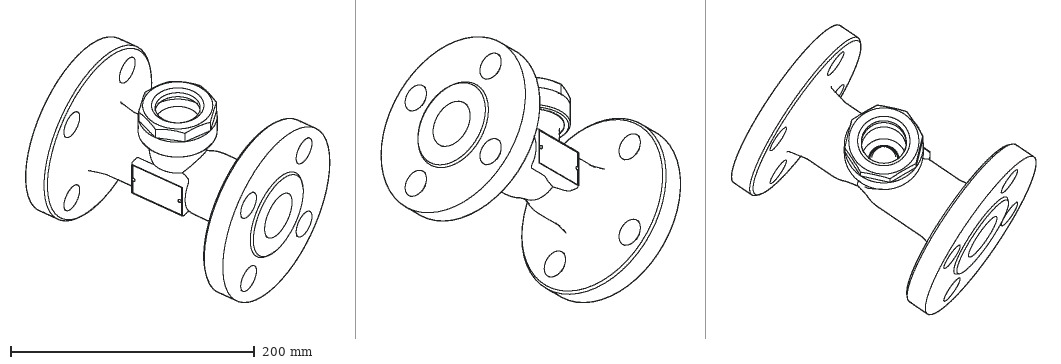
import cadquery as cq
import math

total_length = 200.0
pipe_radius = 56.0 / 2
bore_diameter = 40.0
overlap = 2.0

flange_radius = 156.0 / 2
flange_thickness = 20.5
flange_chamfer = 2.0
raised_face_height = 2.0
raised_face_base_radius = 38.0
raised_face_tip_radius = 36.5
bolt_hole_diameter = 23.0
bolt_hole_offset = 40.5
bolt_hole_count = 4

hub_end_x = 58.0
hub_taper = math.radians(11.5)
hub_fillet = 4.5

waist_x = 10.0
waist_half_length = 22.5
waist_radius = 23.0
sphere_end_offset = 12.0

neck_radius = 47.0 / 2
neck_top_z = 38.5
collar_fillet = 4.0
collar_radius = neck_radius + collar_fillet
seat_z = 53.2
chamber_diameter = 37.0
chamber_floor_z = 24.0

stud_base_radius = 25.0 / 2
stud_step_radius = 23.0 / 2
stud_step_height = 1.0
dome_radius = 10.0

boss_length = 52.0
boss_height = 34.8
boss_back_y = -10.0
boss_front_y = -30.0
boss_fillet = 2.0
plate_length = 50.0
plate_height = 30.8
plate_thickness = 0.5
rivet_radius = 1.5
rivet_spacing = 46.0

nut_radius = 65.0 / 2
nut_bottom_z = 41.8
nut_bottom_chamfer = 1.5
octagon_bottom_z = 59.5
nut_top_z = 71.0
nut_top_face_radius = 28.8
nut_top_bevel = math.radians(30)
octagon_sides = 8
lip_bottom_z = 64.0
lip_bore_radius = 37.0 / 2
lip_mouth_radius = 21.5
lip_mouth_depth = 2.5

face_x = total_length / 2
flange_front_x = face_x - raised_face_height
flange_back_x = flange_front_x - flange_thickness


def make_flange():
    """Flange disc at the +X end, with its raised face and bolt holes."""
    outline = [
        (flange_back_x, 0),
        (flange_back_x, flange_radius - flange_chamfer),
        (flange_back_x + flange_chamfer, flange_radius),
        (flange_front_x, flange_radius),
        (flange_front_x, raised_face_base_radius),
        (face_x, raised_face_tip_radius),
        (face_x, 0),
    ]
    disc = cq.Workplane("XY").polyline(outline).close().revolve(360, (0, 0), (1, 0))
    bolt_holes = (
        cq.Workplane("YZ", origin=(flange_back_x - overlap, 0, 0))
        .polarArray(bolt_hole_offset * math.sqrt(2), 45, 360, bolt_hole_count)
        .circle(bolt_hole_diameter / 2)
        .extrude(flange_thickness + 2 * overlap)
    )
    return disc.cut(bolt_holes)


def make_hub():
    """Tapered hub at the +X end, blending into the flange with a concave fillet."""
    sin_taper = math.sin(hub_taper)
    cos_taper = math.cos(hub_taper)
    cone_end_x = flange_back_x - hub_fillet * (1 - sin_taper)
    cone_end_radius = pipe_radius + (cone_end_x - hub_end_x) * math.tan(hub_taper)
    fillet_center_x = flange_back_x - hub_fillet
    fillet_center_radius = cone_end_radius + hub_fillet * cos_taper
    middle_angle = (hub_taper - math.pi / 2) / 2
    fillet_middle = (
        fillet_center_x + hub_fillet * math.cos(middle_angle),
        fillet_center_radius + hub_fillet * math.sin(middle_angle),
    )
    return (
        cq.Workplane("XY")
        .moveTo(hub_end_x, 0)
        .lineTo(hub_end_x, pipe_radius)
        .lineTo(cone_end_x, cone_end_radius)
        .threePointArc(fillet_middle, (flange_back_x, fillet_center_radius))
        .lineTo(flange_back_x + overlap, fillet_center_radius)
        .lineTo(flange_back_x + overlap, 0)
        .close()
        .revolve(360, (0, 0), (1, 0))
    )


def make_pipe():
    """Pipe run between the hubs, narrowing to a waist."""
    left_x = waist_x - waist_half_length
    right_x = waist_x + waist_half_length

    def sphere_height(offset):
        return math.sqrt(pipe_radius**2 - offset**2)

    middle_offset = sphere_end_offset / 2
    end_height = sphere_height(sphere_end_offset)
    middle_height = sphere_height(middle_offset)
    return (
        cq.Workplane("XY")
        .moveTo(-hub_end_x, 0)
        .lineTo(-hub_end_x, pipe_radius)
        .lineTo(left_x, pipe_radius)
        .threePointArc((left_x + middle_offset, middle_height), (left_x + sphere_end_offset, end_height))
        .lineTo(waist_x, waist_radius)
        .lineTo(right_x - sphere_end_offset, end_height)
        .threePointArc((right_x - middle_offset, middle_height), (right_x, pipe_radius))
        .lineTo(hub_end_x, pipe_radius)
        .lineTo(hub_end_x, 0)
        .close()
        .revolve(360, (0, 0), (1, 0))
    )


def make_neck():
    """Neck on top of the pipe, flaring into the collar that the nut fits on."""
    fillet_middle = (
        collar_radius - collar_fillet * math.cos(math.pi / 4),
        neck_top_z + collar_fillet * math.sin(math.pi / 4),
    )
    return (
        cq.Workplane("XZ")
        .lineTo(neck_radius, 0)
        .lineTo(neck_radius, neck_top_z)
        .threePointArc(fillet_middle, (collar_radius, neck_top_z + collar_fillet))
        .lineTo(collar_radius, seat_z)
        .lineTo(0, seat_z)
        .close()
        .revolve(360, (0, 0), (0, 1))
    )


def make_nameplate():
    """Boss with rounded edges, carrying a thin plate and two domed rivets."""
    boss = (
        cq.Workplane("XZ", origin=(0, boss_back_y, 0))
        .rect(boss_length, boss_height)
        .extrude(boss_back_y - boss_front_y)
        .edges("|Y or <Y")
        .fillet(boss_fillet)
    )
    plate = (
        cq.Workplane("XZ", origin=(0, boss_front_y, 0))
        .rect(plate_length, plate_height)
        .extrude(plate_thickness)
    )
    rivets = (
        cq.Workplane("XZ", origin=(0, boss_front_y - plate_thickness, 0))
        .rarray(rivet_spacing, 2, 2, 1)
        .sphere(rivet_radius)
    )
    return boss.union(plate).union(rivets)


def make_stud():
    """Stepped base with a dome that blends into it, standing on the chamber floor."""
    base_top_z = chamber_floor_z + stud_step_height
    step_top_z = base_top_z + stud_step_height
    foot_fillet = stud_step_radius - dome_radius
    dome_center_z = step_top_z + foot_fillet
    diagonal = math.sin(math.pi / 4)
    foot_middle = (stud_step_radius - foot_fillet * diagonal, dome_center_z - foot_fillet * diagonal)
    return (
        cq.Workplane("XZ")
        .moveTo(0, chamber_floor_z - overlap)
        .lineTo(stud_base_radius, chamber_floor_z - overlap)
        .lineTo(stud_base_radius, base_top_z)
        .lineTo(stud_step_radius, base_top_z)
        .lineTo(stud_step_radius, step_top_z)
        .threePointArc(foot_middle, (dome_radius, dome_center_z))
        .threePointArc(
            (dome_radius * diagonal, dome_center_z + dome_radius * diagonal),
            (0, dome_center_z + dome_radius),
        )
        .close()
        .revolve(360, (0, 0), (0, 1))
    )


def make_bore(inner_x, outer_x):
    """Blind flow bore along X, from an inner end to a flange face."""
    return (
        cq.Workplane("YZ", origin=(inner_x, 0, 0))
        .circle(bore_diameter / 2)
        .extrude(outer_x - inner_x)
    )


def make_housing():
    flange = make_flange()
    hub = make_hub()
    housing = make_pipe()
    for end_part in (hub, flange):
        housing = housing.union(end_part).union(end_part.mirror("YZ"))
    housing = housing.union(make_neck()).union(make_nameplate())

    chamber = (
        cq.Workplane("XY", origin=(0, 0, chamber_floor_z))
        .circle(chamber_diameter / 2)
        .extrude(seat_z - chamber_floor_z)
    )
    housing = housing.cut(chamber).union(make_stud())
    housing = housing.cut(make_bore(waist_x - waist_half_length, -face_x))
    return housing.cut(make_bore(waist_x + waist_half_length, face_x))


def make_nut():
    """Cap nut: round below, octagonal above, with a lip at the top of its bore."""
    round_part = (
        cq.Workplane("XY", origin=(0, 0, nut_bottom_z))
        .circle(nut_radius)
        .extrude(octagon_bottom_z - nut_bottom_z)
        .faces("<Z")
        .chamfer(nut_bottom_chamfer)
    )
    octagon = (
        cq.Workplane("XY", origin=(0, 0, octagon_bottom_z))
        .polygon(octagon_sides, 2 * nut_radius)
        .extrude(nut_top_z - octagon_bottom_z)
    )
    bevel_depth = (nut_radius - nut_top_face_radius) * math.tan(nut_top_bevel)
    bevel_envelope = (
        cq.Workplane("XZ")
        .moveTo(0, octagon_bottom_z)
        .lineTo(nut_radius, octagon_bottom_z)
        .lineTo(nut_radius, nut_top_z - bevel_depth)
        .lineTo(nut_top_face_radius, nut_top_z)
        .lineTo(0, nut_top_z)
        .close()
        .revolve(360, (0, 0), (0, 1))
    )
    bore_outline = [
        (0, nut_bottom_z),
        (collar_radius, nut_bottom_z),
        (collar_radius, lip_bottom_z),
        (lip_bore_radius, lip_bottom_z),
        (lip_bore_radius, nut_top_z - lip_mouth_depth),
        (lip_mouth_radius, nut_top_z),
        (0, nut_top_z),
    ]
    bore = cq.Workplane("XZ").polyline(bore_outline).close().revolve(360, (0, 0), (0, 1))
    return round_part.union(octagon.intersect(bevel_envelope)).cut(bore)


housing = make_housing()
nut = make_nut()
result = cq.Compound.makeCompound([housing.val(), nut.val()])